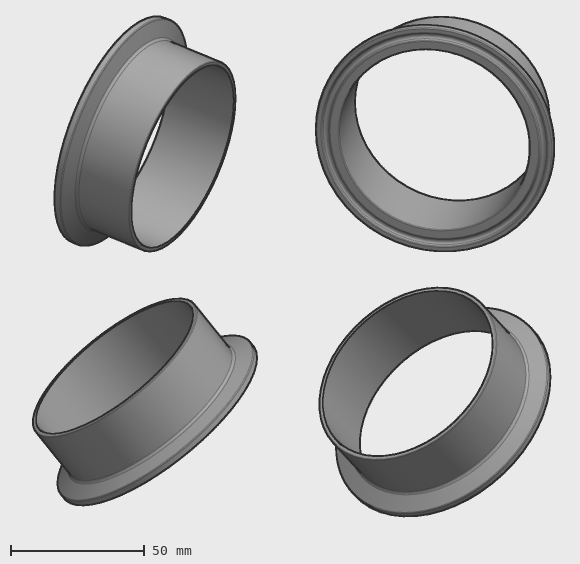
import cadquery as cq
import math

length = 28.55
flange_diameter = 90.9
tube_diameter = 76.2
bore_diameter = 72.9

rim_width = 2.8
back_angle = 20.0
front_rim_round = 0.5
back_rim_round = 0.5
neck_round = 1.2

groove_outer_radius = 43.3
groove_inner_radius = 40.2
groove_wall_angle = 30.0
groove_bottom_round = 1.2
groove_edge_round = 0.5

bore_edge_round = 0.4
tube_end_round = 0.3

flange_radius = flange_diameter / 2
tube_radius = tube_diameter / 2
bore_radius = bore_diameter / 2
neck_x = rim_width + (flange_radius - tube_radius) * math.tan(math.radians(back_angle))

wall_slope = math.radians(groove_wall_angle)
groove_middle_radius = (groove_outer_radius + groove_inner_radius) / 2
groove_half_width = (groove_outer_radius - groove_inner_radius) / 2
bottom_half_width = groove_bottom_round * math.cos(wall_slope)
wall_depth = (groove_half_width - bottom_half_width) / math.tan(wall_slope)
groove_depth = wall_depth + groove_bottom_round * (1 - math.sin(wall_slope))

match_tolerance = 0.001


def ferrule_blank():
    """Revolve the half section, groove included, with its corners still sharp."""
    section = (
        cq.Workplane("XY")
        .moveTo(0, bore_radius)
        .lineTo(0, groove_inner_radius)
        .lineTo(wall_depth, groove_middle_radius - bottom_half_width)
        .threePointArc(
            (groove_depth, groove_middle_radius),
            (wall_depth, groove_middle_radius + bottom_half_width),
        )
        .lineTo(0, groove_outer_radius)
        .lineTo(0, flange_radius)
        .lineTo(rim_width, flange_radius)
        .lineTo(neck_x, tube_radius)
        .lineTo(length, tube_radius)
        .lineTo(length, bore_radius)
        .close()
    )
    return section.revolve(360, (0, 0, 0), (1, 0, 0))


def round_ring_edge(body, x, radius, rounding):
    """Fillet the circular edge of the given radius around the X axis at position x."""

    def is_ring(edge):
        return (
            edge.geomType() == "CIRCLE"
            and abs(edge.Center().x - x) < match_tolerance
            and abs(edge.radius() - radius) < match_tolerance
        )

    return body.edges().filter(is_ring).fillet(rounding)


result = ferrule_blank()

result = round_ring_edge(result, 0, flange_radius, front_rim_round)
result = round_ring_edge(result, rim_width, flange_radius, back_rim_round)
result = round_ring_edge(result, neck_x, tube_radius, neck_round)

for mouth_radius in (groove_outer_radius, groove_inner_radius):
    result = round_ring_edge(result, 0, mouth_radius, groove_edge_round)

result = round_ring_edge(result, 0, bore_radius, bore_edge_round)
result = round_ring_edge(result, length, tube_radius, tube_end_round)